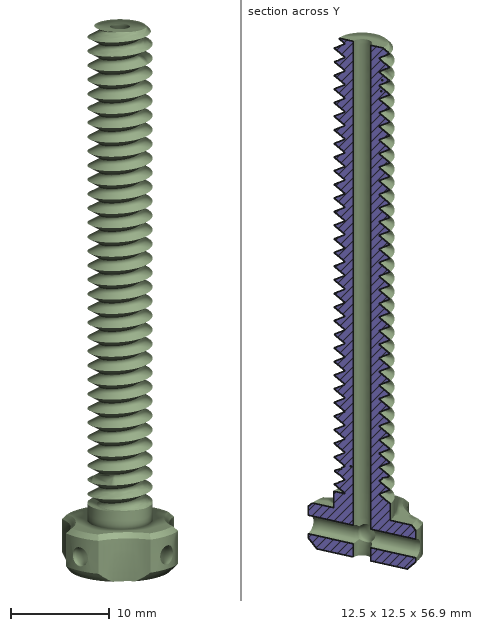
import cadquery as cq
import math

total_length = 56.9
hole_diameter = 2.0

head_radius = 6.25
head_height = 5.0
lobe_half_width = 2.15
scallop_depth_radius = 5.0
lobe_count = 4
head_top_chamfer = 0.5
head_bottom_chamfer = 1.0

shank_radius = 3.3
collar_height = 1.8

thread_turns = 100 / 3
thread_root_radius = 2.05
thread_root_embed = 0.03
thread_end_chamfer = 0.6
trim_clearance = 0.15
flank_angle = math.radians(30)

collar_top = head_height + collar_height
thread_length = total_length - collar_top
pitch = thread_length / thread_turns


def polar(radius, angle):
    return radius * math.cos(angle), radius * math.sin(angle)


def make_head():
    """Lobed knob, chamfered along its top outline and coned at its lower rim, with the axial bore."""
    lobe_step = 2 * math.pi / lobe_count
    half_lobe = math.asin(lobe_half_width / head_radius)
    outline = cq.Workplane("XY").moveTo(*polar(head_radius, -half_lobe))
    for lobe in range(lobe_count):
        center = lobe * lobe_step
        outline = outline.threePointArc(
            polar(head_radius, center),
            polar(head_radius, center + half_lobe),
        )
        outline = outline.threePointArc(
            polar(scallop_depth_radius, center + lobe_step / 2),
            polar(head_radius, center + lobe_step - half_lobe),
        )
    head = outline.close().extrude(head_height)
    head = head.faces(">Z").edges().chamfer(head_top_chamfer)
    cone_envelope = (
        cq.Workplane("XY")
        .circle(head_radius)
        .extrude(head_height)
        .faces("<Z")
        .edges()
        .chamfer(head_bottom_chamfer)
    )
    axial_bore = cq.Workplane("XY").circle(hole_diameter / 2).extrude(head_height)
    return head.intersect(cone_envelope).cut(axial_bore)


def make_bored_cylinder(radius, bottom, height):
    """Round bar along Z with the axial bore already open."""
    return (
        cq.Workplane("XY", origin=(0, 0, bottom))
        .circle(radius)
        .circle(hole_diameter / 2)
        .extrude(height)
    )


def make_thread_ridge():
    """Helical V ridge, running one pitch past each end of the thread."""
    start = collar_top - pitch
    base_radius = thread_root_radius - thread_root_embed
    base_half_width = (shank_radius - base_radius) * math.tan(flank_angle)
    helix = cq.Wire.makeHelix(
        pitch, thread_length + 2 * pitch, base_radius, center=cq.Vector(0, 0, start)
    )
    return (
        cq.Workplane("XZ", origin=(0, 0, start))
        .moveTo(base_radius, -base_half_width)
        .lineTo(shank_radius, 0)
        .lineTo(base_radius, base_half_width)
        .close()
        .sweep(cq.Workplane(helix), isFrenet=True)
    )


def make_thread():
    """Bored core with the ridge, trimmed flat at the collar and chamfered at the free end."""
    core = make_bored_cylinder(
        thread_root_radius, collar_top - 2 * pitch, thread_length + 4 * pitch
    )
    trim_envelope = (
        cq.Workplane("XY", origin=(0, 0, collar_top))
        .circle(shank_radius + trim_clearance)
        .extrude(thread_length)
        .faces(">Z")
        .edges()
        .chamfer(thread_end_chamfer + trim_clearance)
    )
    return core.union(make_thread_ridge(), clean=False).intersect(trim_envelope, clean=False)


def make_cross_hole(plane):
    """Cylinder through the whole head at mid height, along the plane's normal."""
    return (
        cq.Workplane(plane, origin=(0, 0, head_height / 2))
        .circle(hole_diameter / 2)
        .extrude(head_radius, both=True)
    )


head = make_head()
for plane in ("XZ", "YZ"):
    head = head.cut(make_cross_hole(plane))
collar = make_bored_cylinder(shank_radius, head_height, collar_height)

result = head.union(collar).union(make_thread(), clean=False)